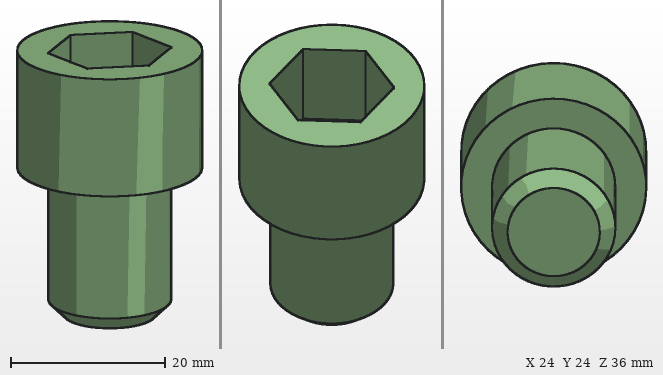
import cadquery as cq
import math

total_length = 36.0
head_diameter = 24.0
shank_diameter = 16.0
head_height = shank_diameter
shank_length = total_length - head_height
tip_chamfer = 2.0

socket_across_flats = 14.0
socket_across_corners = socket_across_flats / math.cos(math.pi / 6)
socket_floor_thickness = 4.0
socket_depth = head_height - socket_floor_thickness


def make_shank():
    """Shank hanging below the head, with a chamfered tip."""
    shank = cq.Workplane("XY").circle(shank_diameter / 2).extrude(-shank_length)
    return shank.faces("<Z").chamfer(tip_chamfer)


def make_head():
    """Plain cylindrical head sitting on Z = 0."""
    return cq.Workplane("XY").circle(head_diameter / 2).extrude(head_height)


def make_socket():
    """Hexagonal cutter sunk from the top of the head, with corners on the X axis."""
    socket_top = cq.Workplane("XY").workplane(offset=head_height)
    return socket_top.polygon(6, socket_across_corners).extrude(-socket_depth)


result = make_head().union(make_shank()).cut(make_socket())